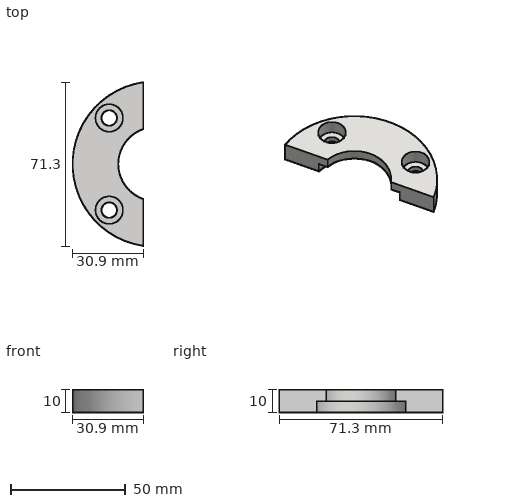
import cadquery as cq
import math

length = 71.3
width = 30.9
thickness = 10.0
inner_radius = 16.05
recess_radius = 20.0
lip_height = 5.0
hole_offset = 20.0
hole_diameter = 6.6
counterbore_diameter = 12.0
counterbore_depth = 7.0

outer_radius = (width**2 + (length / 2) ** 2) / (2 * width)
cut_x = width - outer_radius
inner_half_chord = math.sqrt(inner_radius**2 - cut_x**2)


def ring_segment():
    """Ring segment centred on the Z axis, cut flat on its +X side."""
    return (
        cq.Workplane("XY")
        .moveTo(cut_x, length / 2)
        .threePointArc((-outer_radius, 0), (cut_x, -length / 2))
        .lineTo(cut_x, -inner_half_chord)
        .threePointArc((-inner_radius, 0), (cut_x, inner_half_chord))
        .close()
        .extrude(thickness)
    )


def cut_recess(body):
    """Wider concentric bore entering from the bottom face, up to the lip."""
    recess = cq.Workplane("XY").circle(recess_radius).extrude(thickness - lip_height)
    return body.cut(recess)


def add_screw_holes(body):
    """Two counterbored through holes, opening on the top face."""
    return (
        body.faces(">Z")
        .workplane(origin=(0, 0, thickness))
        .pushPoints([(-hole_offset, side * hole_offset) for side in (-1, 1)])
        .cboreHole(hole_diameter, counterbore_diameter, counterbore_depth)
    )


result = add_screw_holes(cut_recess(ring_segment()))